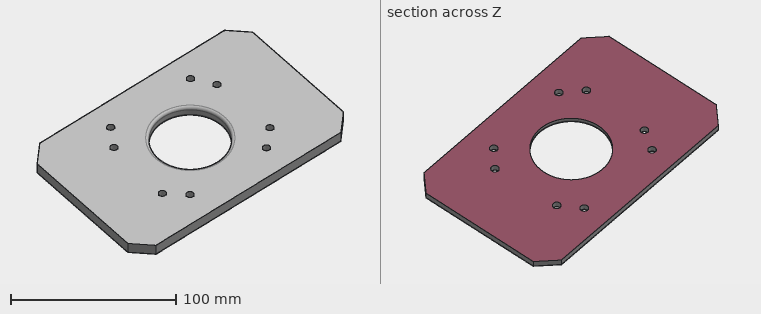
import cadquery as cq
import math

width = 110.0
length = 170.0
thickness = 8.0
corner_cut = 12.0

bore_diameter = 50.0
rim_radius = 2.0

hole_diameter = 5.0
bolt_circles = [
    (49.0, (60, 140)),
    (47.0, (40, 120)),
]


def make_plate():
    """Rectangular plate with its four corners cut off at 45 degrees."""
    plate = cq.Workplane("XY").box(width, length, thickness, centered=(True, True, False))
    return plate.edges("|Z").chamfer(corner_cut)


def cut_bore(plate):
    """Through bore on the plate axis, rounded where it meets the top and bottom faces."""
    bored = plate.faces(">Z").workplane().hole(bore_diameter)
    return bored.faces("|Z").edges("%CIRCLE").fillet(rim_radius)


def screw_hole_centers():
    """Centers of all screw holes, in pairs mirrored across the X axis."""
    centers = []
    for radius, angles in bolt_circles:
        for angle in angles:
            x = radius * math.cos(math.radians(angle))
            y = radius * math.sin(math.radians(angle))
            centers += [(x, y), (x, -y)]
    return centers


def cut_screw_holes(plate):
    """Plain through holes at every screw position."""
    top = plate.faces(">Z").workplane()
    return top.pushPoints(screw_hole_centers()).hole(hole_diameter)


result = cut_screw_holes(cut_bore(make_plate()))